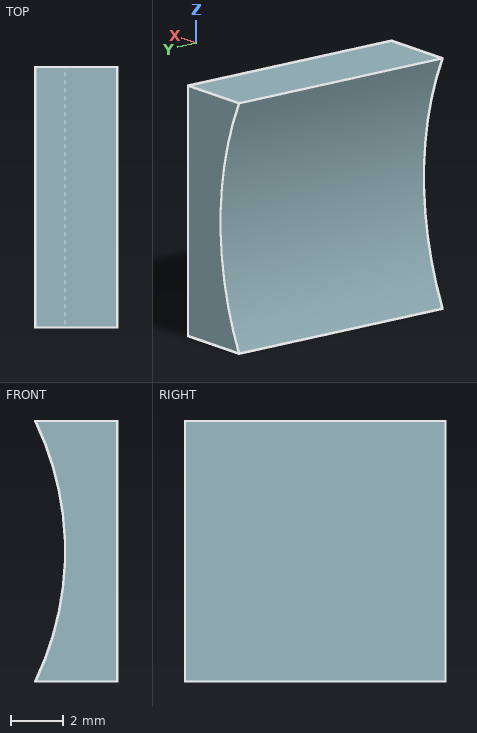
import cadquery as cq

depth = 3.15
width = 10.0
height = 10.0
hollow_radius = 11.5

half_height = height / 2
hollow_depth = hollow_radius - (hollow_radius**2 - half_height**2) ** 0.5

profile = (
    cq.Workplane("XZ")
    .moveTo(0, -half_height)
    .lineTo(depth, -half_height)
    .lineTo(depth, half_height)
    .lineTo(0, half_height)
    .threePointArc((hollow_depth, 0), (0, -half_height))
    .close()
)

result = profile.extrude(width / 2, both=True)